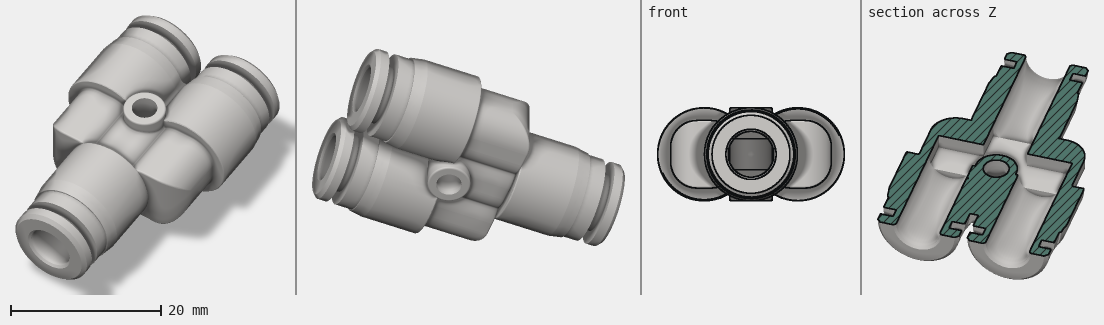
import cadquery as cq
import math


branch_offset = 6.25
sleeve_radius = 6.2
taper_end_radius = 5.9
collar_radius = 5.7
neck_radius = 3.95
bore_radius = 3.05
flange_length = 1.7
neck_end = 3.0
taper_start = 5.25
taper_end = 7.0
fitting_length = 14.75
flange_chamfer = 0.5
bore_chamfer = 0.3
sleeve_edge_radius = 0.15

overall_length = 38.2
body_length = overall_length - 2 * fitting_length
lobe_width = 8.9
lobe_height = 9.0
lobe_corner_radius = 3.5
body_edge_radius = 0.25
crease_fillet = 0.2
root_fillet = 0.2

valley_radius = 0.43

post_radius = 2.85
post_edge_radius = 0.25
post_height = 2 * sleeve_radius
post_hole_radius = 1.7
post_to_branch_end = 15.05

passage_height = 4.1
passage_width = 2 * (branch_offset + bore_radius)
crossway_length = body_length / 2

position_margin = 0.05

branch_end_y = post_to_branch_end
stem_end_y = branch_end_y - overall_length
body_top_y = branch_end_y - fitting_length
body_bottom_y = body_top_y - body_length


def place_fitting(shape, port):
    """Move a shape made at the origin (port end at Y = 0, body toward -Y) to its port."""
    if port == "stem":
        return shape.rotate((0, 0, 0), (0, 0, 1), 180).translate((0, stem_end_y, 0))
    side = 1 if port == "right branch" else -1
    return shape.translate((side * branch_offset, branch_end_y, 0))


def fitting():
    """Solid release flange, neck, collar, taper and sleeve, turned about Y."""
    return (
        cq.Workplane("XY")
        .lineTo(collar_radius - flange_chamfer, 0)
        .lineTo(collar_radius, -flange_chamfer)
        .lineTo(collar_radius, -flange_length)
        .lineTo(neck_radius, -flange_length)
        .lineTo(neck_radius, -neck_end)
        .lineTo(collar_radius, -neck_end)
        .lineTo(collar_radius, -taper_start)
        .lineTo(taper_end_radius, -taper_start)
        .lineTo(sleeve_radius, -taper_end)
        .lineTo(sleeve_radius, -fitting_length + sleeve_edge_radius)
        .radiusArc((sleeve_radius - sleeve_edge_radius, -fitting_length), sleeve_edge_radius)
        .lineTo(0, -fitting_length)
        .close()
        .revolve(360, (0, 0, 0), (0, 1, 0))
    )


def tube_bore():
    """Blind tube bore with a chamfered mouth, turned about Y."""
    return (
        cq.Workplane("XY")
        .lineTo(bore_radius + bore_chamfer, 0)
        .lineTo(bore_radius, -bore_chamfer)
        .lineTo(bore_radius, -fitting_length)
        .lineTo(0, -fitting_length)
        .close()
        .revolve(360, (0, 0, 0), (0, 1, 0))
    )


def body():
    """Three rounded-square lobes side by side, with the outer stem-side corners rounded."""
    lobes = cq.Workplane("XY")
    for x in (-branch_offset, 0, branch_offset):
        lobe = (
            cq.Workplane("XY")
            .box(lobe_width, body_length, lobe_height)
            .edges("|Y")
            .fillet(lobe_corner_radius)
            .translate((x, body_top_y - body_length / 2, 0))
        )
        lobes = lobes.union(lobe)
    outline = (
        cq.Workplane("XY")
        .box(2 * branch_offset + lobe_width, body_length, lobe_height)
        .edges("|Z and <Y")
        .fillet(lobe_corner_radius)
        .translate((0, body_top_y - body_length / 2, 0))
    )
    shape = lobes.intersect(outline)
    for side in (-1, 1):
        crease = cq.selectors.BoxSelector(
            (side * branch_offset / 2 - position_margin, body_bottom_y, -lobe_height),
            (side * branch_offset / 2 + position_margin, body_top_y, lobe_height),
        )
        shape = shape.edges(crease).edges("|Y").fillet(crease_fillet)
    return shape.faces("<Y").edges().fillet(body_edge_radius)


def sleeve_web():
    """Web between the branch sleeves, hollowed tangent to them and widening along their taper."""
    valley_height = math.sqrt((sleeve_radius + valley_radius) ** 2 - branch_offset**2)
    outer_valley_radius = valley_radius + sleeve_radius - taper_end_radius
    width = 2 * branch_offset * valley_radius / (sleeve_radius + valley_radius)
    outer_width = 2 * branch_offset * outer_valley_radius / (sleeve_radius + valley_radius)
    straight_length = fitting_length - taper_end
    taper_length = taper_end - taper_start

    straight = (
        cq.Workplane("XZ", origin=(0, body_top_y, 0))
        .rect(width, 2 * valley_height)
        .extrude(-straight_length)
    )
    taper = (
        cq.Workplane("XZ", origin=(0, body_top_y + straight_length, 0))
        .rect(width, 2 * valley_height)
        .workplane(offset=-taper_length)
        .rect(outer_width, 2 * valley_height)
        .loft(ruled=True)
    )
    web = straight.union(taper)
    for side in (-1, 1):
        valley = (
            cq.Workplane("XY")
            .moveTo(0, body_top_y)
            .lineTo(valley_radius, body_top_y)
            .lineTo(valley_radius, body_top_y + straight_length)
            .lineTo(outer_valley_radius, body_top_y + straight_length + taper_length)
            .lineTo(0, body_top_y + straight_length + taper_length)
            .close()
            .revolve(360, (0, 0, 0), (0, 1, 0))
            .translate((0, 0, side * valley_height))
        )
        web = web.cut(valley)
    return web


def upright_cylinder(radius):
    """Cylinder along Z on the post axis, as tall as the post."""
    return cq.Workplane("XY").circle(radius).extrude(post_height / 2, both=True)


def post():
    """Round post through the body, with rounded rims."""
    return upright_cylinder(post_radius).edges("%CIRCLE").fillet(post_edge_radius)


def flow_passage():
    """Flat passage from the stem bore to a crossway feeding both branches around the post."""
    inlet = (
        cq.Workplane("XY")
        .box(2 * bore_radius, body_length, passage_height)
        .translate((0, body_top_y - body_length / 2, 0))
    )
    crossway = (
        cq.Workplane("XY")
        .box(passage_width, crossway_length, passage_height)
        .translate((0, body_top_y - crossway_length / 2, 0))
    )
    return inlet.union(crossway).cut(upright_cylinder(post_radius))


def is_sleeve_root(edge):
    """True for the body outline where it meets the branch sleeve ends beside the post."""
    box = edge.BoundingBox()
    on_sleeve_end = max(abs(box.ymin - body_top_y), abs(box.ymax - body_top_y)) < position_margin
    beside_post = abs(edge.Center().x) > post_radius
    sleeve_rim = edge.geomType() == "CIRCLE" and edge.radius() > lobe_corner_radius + position_margin
    return on_sleeve_end and beside_post and not sleeve_rim


def is_post_root(edge):
    """True for the edges where the post rises from the body, on the stem side of the sleeve ends."""
    middle = edge.positionAt(0.5)
    on_post = abs(math.hypot(middle.x, middle.y) - post_radius) < position_margin
    box = edge.BoundingBox()
    before_sleeves = box.ymax < body_top_y + position_margin
    on_body = max(box.zmax, -box.zmin) < lobe_height / 2 + position_margin
    return on_post and before_sleeves and on_body and edge.geomType() != "LINE"


def outer_shape(ports):
    """Union of the solid outer forms, with the root fillets."""
    shape = body().union(sleeve_web())
    for port in ports:
        shape = shape.union(place_fitting(fitting(), port))
    shape = shape.union(post())
    roots = shape.edges().filter(lambda edge: is_sleeve_root(edge) or is_post_root(edge))
    return roots.fillet(root_fillet)


ports = ("left branch", "right branch", "stem")
result = outer_shape(ports)
for port in ports:
    result = result.cut(place_fitting(tube_bore(), port))
result = result.cut(flow_passage())
result = result.cut(upright_cylinder(post_hole_radius))